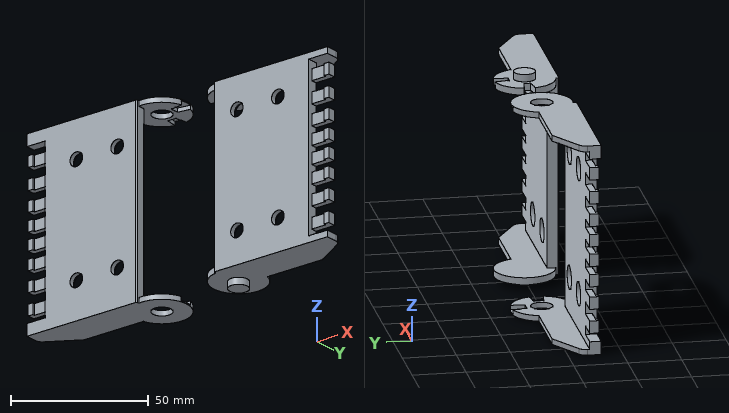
import cadquery as cq

length = 139.7
comb_edge = -length / 2
pin_diameter = 8.1
pivot_offset = 1.8

socket_plate_thickness = 4.3
pin_plate_thickness = 4.5
edge_chamfer = 0.5
window_depth = 8.7
window_height = 70.1
tooth_height = 4.7
tooth_offsets = [3.8, 11.6, 20.3, 29.5]
head_length = 2.2
head_front = 0.8
neck_front = 1.8

screw_diameter = 5.7
screw_seat_diameter = 9.0
screw_seat_depth = 2.2
screw_insets = [23.0, 42.0]
screw_rise = 24.0

ear_radius = 11.5
pivot_y = 12.6
ear_depth = 15.6
slope_run = 14.5
slope_foot = 7.0
corner_radius = 3.4

socket_pivot_x = comb_edge + 53.0
socket_plate_end = socket_pivot_x - pivot_offset
socket_height = 80.5
socket_ear_thickness = 2.2

pin_pivot_x = comb_edge + 51.1
pin_plate_end = pin_pivot_x + pivot_offset
pin_leaf_height = 75.6
pin_ear_thickness = (pin_leaf_height - window_height) / 2
pin_span = 81.2

notch_root = 5.9
notch_root_width = 2.5
notch_mouth_width = 4.2
notch_overrun = 1.4
socket_notch_depth = 1.7
socket_notch_clearance = 0.5
notch_angles = [0, 90]


def box(x_start, x_end, y_start, y_end, z_start, z_end):
    """Box between the given limits."""
    size = (x_end - x_start, y_end - y_start, z_end - z_start)
    return cq.Workplane("XY").box(*size, centered=False).translate((x_start, y_start, z_start))


def disc(pivot_x, diameter, z_start, height):
    """Round bar on the pivot axis."""
    return (
        cq.Workplane("XY", origin=(pivot_x, pivot_y, z_start))
        .circle(diameter / 2)
        .extrude(height)
    )


def make_ear(pivot_x, plate_end, z_start, thickness):
    """Flat ear: sloped arm from the comb edge to a round eye about the pivot."""
    arm = (
        cq.Workplane("XY", origin=(0, 0, z_start))
        .moveTo(comb_edge, 0)
        .lineTo(plate_end, 0)
        .lineTo(plate_end, ear_depth)
        .lineTo(comb_edge + slope_run, ear_depth)
        .lineTo(comb_edge, slope_foot)
        .close()
        .extrude(thickness)
    )
    corner_point = (comb_edge, slope_foot, z_start + thickness / 2)
    sloped_corner = cq.selectors.NearestToPointSelector(corner_point)
    arm = arm.edges(sloped_corner).fillet(corner_radius)
    return arm.union(disc(pivot_x, 2 * ear_radius, z_start, thickness))


def make_tooth(z_centre, plate_thickness):
    """Comb tooth: a thin neck with a thicker head, flush at the back of the plate."""
    z_start = z_centre - tooth_height / 2
    z_end = z_centre + tooth_height / 2
    neck = box(comb_edge, comb_edge + window_depth, neck_front, plate_thickness, z_start, z_end)
    head = box(comb_edge, comb_edge + head_length, head_front, plate_thickness, z_start, z_end)
    return neck.union(head)


def make_leaf(pivot_x, plate_end, height, ear_thickness, plate_thickness):
    """Plate with comb, screw holes and two plain ears."""
    leaf = box(comb_edge, plate_end, 0, plate_thickness, -height / 2, height / 2)

    for z_start in (-height / 2, height / 2 - ear_thickness):
        leaf = leaf.union(make_ear(pivot_x, plate_end, z_start, ear_thickness))

    front_edge = cq.selectors.NearestToPointSelector((plate_end, 0, 0))
    leaf = leaf.edges(front_edge).chamfer(edge_chamfer)

    half_window = window_height / 2
    window_end = comb_edge + window_depth
    leaf = leaf.cut(box(comb_edge, window_end, 0, plate_thickness, -half_window, half_window))
    for offset in tooth_offsets:
        for side in (-1, 1):
            leaf = leaf.union(make_tooth(side * offset, plate_thickness))

    screw_points = [(comb_edge + inset, side * screw_rise) for inset in screw_insets for side in (-1, 1)]
    seat_front = plate_thickness - screw_seat_depth
    holes = (
        cq.Workplane("XZ")
        .pushPoints(screw_points)
        .circle(screw_diameter / 2)
        .extrude(-plate_thickness)
    )
    seats = (
        cq.Workplane("XZ", origin=(0, seat_front, 0))
        .pushPoints(screw_points)
        .circle(screw_seat_diameter / 2)
        .extrude(-screw_seat_depth)
    )
    return leaf.cut(holes).cut(seats)


def make_notch(pivot_x, z_start, thickness, angle, clearance=0):
    """Tapered notch cutter pointing away from the pivot, widened by the clearance on each side."""
    growth = (notch_mouth_width - notch_root_width) / (ear_radius - notch_root)
    reach = ear_radius + notch_overrun
    root_width = notch_root_width + 2 * clearance
    reach_width = root_width + growth * (reach - notch_root)
    cutter = (
        cq.Workplane("XY")
        .polyline([
            (notch_root, -root_width / 2),
            (reach, -reach_width / 2),
            (reach, reach_width / 2),
            (notch_root, root_width / 2),
        ])
        .close()
        .extrude(thickness)
    )
    cutter = cutter.rotate((0, 0, 0), (0, 0, 1), angle)
    return cutter.translate((pivot_x, pivot_y, z_start))


def make_socket_leaf():
    """Leaf whose ears carry the pivot holes."""
    leaf = make_leaf(
        socket_pivot_x, socket_plate_end, socket_height, socket_ear_thickness, socket_plate_thickness
    )
    leaf = leaf.cut(disc(socket_pivot_x, pin_diameter, -socket_height / 2, socket_height))
    ear_inner_face = socket_height / 2 - socket_ear_thickness
    for z_start in (ear_inner_face, -ear_inner_face - socket_notch_depth):
        for angle in notch_angles:
            notch = make_notch(socket_pivot_x, z_start, socket_notch_depth, angle, socket_notch_clearance)
            leaf = leaf.cut(notch)
    return leaf


def make_pin_leaf():
    """Leaf whose ears carry outward pins, mirrored to face the socket leaf."""
    leaf = make_leaf(pin_pivot_x, pin_plate_end, pin_leaf_height, pin_ear_thickness, pin_plate_thickness)
    pin_length = (pin_span - pin_leaf_height) / 2
    for z_start in (-pin_span / 2, pin_leaf_height / 2):
        leaf = leaf.union(disc(pin_pivot_x, pin_diameter, z_start, pin_length))
    for angle in notch_angles:
        leaf = leaf.cut(make_notch(pin_pivot_x, window_height / 2, pin_ear_thickness, angle))
    return leaf.mirror("YZ")


socket_leaf = make_socket_leaf()
pin_leaf = make_pin_leaf()
result = cq.Compound.makeCompound([socket_leaf.val(), pin_leaf.val()])